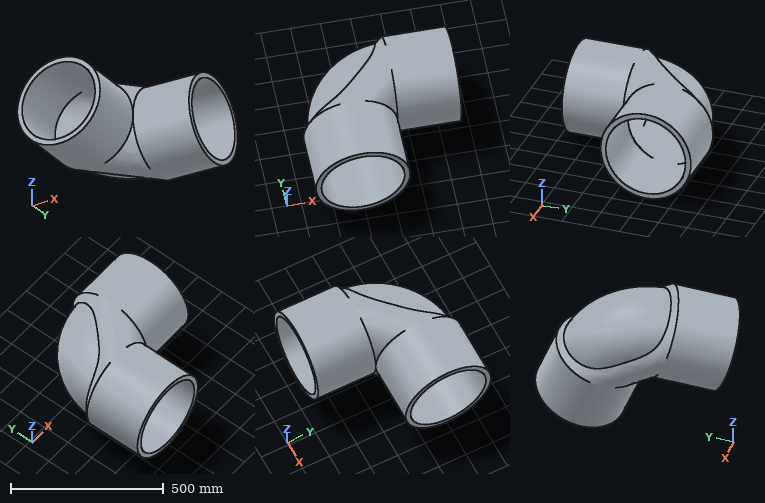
import cadquery as cq
import math

outer_diameter = 315.0
wall_thickness = 18.7
leg_length = 212.5
bend_angle = 90.0

outer_radius = outer_diameter / 2
bore_radius = outer_radius - wall_thickness
bend_radius = outer_radius


def leg_along_y(radius):
    """Straight cylinder from the bend face Y = 0 to the open end of the first leg."""
    return cq.Workplane("XZ").center(-bend_radius, 0).circle(radius).extrude(leg_length)


def leg_along_x(radius):
    """Straight cylinder from the bend face X = 0 to the open end of the second leg."""
    return cq.Workplane("YZ").center(bend_radius, 0).circle(radius).extrude(leg_length)


def open_leg(leg):
    """Leg cylinder with the bore cut through it."""
    return leg(outer_radius).cut(leg(bore_radius))


def bend_quadrant():
    """Block filling the bend zone X <= 0, Y >= 0, large enough to hold the whole bend."""
    side = 2 * outer_diameter
    return cq.Workplane("XY").box(side, side, side).translate((-side / 2, side / 2, 0))


def slanted_tube(radius):
    """Cylinder slanted at 45 degrees that meets both bend faces in circles of the given radius.

    Its square cross-section is an ellipse, full height in Z and shortened across the slant.
    """
    shortening = math.cos(math.radians(bend_angle / 2))
    tube_length = 2 * outer_diameter
    middle = cq.Vector(-bend_radius / 2, bend_radius / 2, 0)
    slant = cq.Vector(1, 1, 0).normalized()
    start_plane = cq.Plane(
        origin=middle - slant * (tube_length / 2), xDir=(-1, 1, 0), normal=slant
    )
    tube = (
        cq.Workplane(start_plane)
        .ellipse(radius * shortening, radius)
        .extrude(tube_length)
    )
    return tube.intersect(bend_quadrant())


def heel_bulge():
    """Round-section quarter bend, as thick as the bore, that bulges out at the heel."""
    return (
        cq.Workplane("XZ")
        .center(-bend_radius, 0)
        .circle(bore_radius)
        .revolve(bend_angle, (bend_radius, 0, 0), (bend_radius, -1, 0))
    )


bend = slanted_tube(outer_radius).union(heel_bulge()).cut(slanted_tube(bore_radius))
result = bend.union(open_leg(leg_along_y)).union(open_leg(leg_along_x))